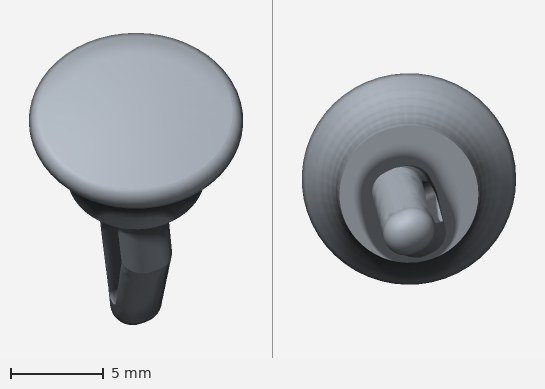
import cadquery as cq
import math


overall_height = 18.5

neck_radius = 3.75
flare_radius = 5.59
flare_top_z = 4.22
flare_mid = (4.22, 2.28)
rim_radius = 5.79
rim_widest_z = 4.83
crown_radius = 5.22
crown_edge_z = 5.48
head_height = 6.0

stem_half_depth = 1.42
corner_radius = 1.22
outer_flat_half = stem_half_depth - corner_radius
root_half_width = 1.55
knee_half_width = 2.53
knee_z = -5.53
stem_length = overall_height - head_height
tip_center_z = corner_radius - stem_length

slot_knee_half_width = 1.25
slot_end_radius = 0.48
slot_top_z = -1.52
slot_bottom_z = -10.53

arc_mid_offset = corner_radius * math.sqrt(0.5)


def make_head():
    """Turned knob with a hollow flare, a rounded rim and a shallow domed crown."""
    crown_sag = head_height - crown_edge_z
    dome_radius = (crown_radius**2 + crown_sag**2) / (2 * crown_sag)
    dome_mid_x = crown_radius / 2
    dome_mid_z = head_height - dome_radius + math.sqrt(dome_radius**2 - dome_mid_x**2)
    return (
        cq.Workplane("XZ")
        .lineTo(neck_radius, 0)
        .threePointArc(flare_mid, (flare_radius, flare_top_z))
        .threePointArc((rim_radius, rim_widest_z), (crown_radius, crown_edge_z))
        .threePointArc((dome_mid_x, dome_mid_z), (0, head_height))
        .close()
        .revolve(360, (0, 0), (0, 1))
    )


def rounded_section(workplane, inner_x):
    """Draw a leg section: flat outer edge, flat inner side, two quarter-round corners."""
    arc_mid_x = inner_x + arc_mid_offset
    arc_mid_y = outer_flat_half + arc_mid_offset
    outer_x = inner_x + corner_radius
    return (
        workplane.moveTo(inner_x, -stem_half_depth)
        .threePointArc((arc_mid_x, -arc_mid_y), (outer_x, -outer_flat_half))
        .lineTo(outer_x, outer_flat_half)
        .threePointArc((arc_mid_x, arc_mid_y), (inner_x, stem_half_depth))
        .close()
    )


def make_leg_span(top_z, top_half_width, bottom_z, bottom_half_width):
    """Straight sloping stretch of the rounded outside of the +X leg."""
    top = rounded_section(cq.Workplane("XY", origin=(0, 0, top_z)), top_half_width - corner_radius)
    bottom_plane = top.workplane(offset=bottom_z - top_z)
    return rounded_section(bottom_plane, bottom_half_width - corner_radius).loft(ruled=True)


def make_core():
    """Flat-sided diamond plate between the rounded outsides of the legs."""
    root_x = root_half_width - corner_radius
    knee_x = knee_half_width - corner_radius
    return (
        cq.Workplane("XZ")
        .polyline([(-root_x, 0), (root_x, 0), (knee_x, knee_z), (0, tip_center_z), (-knee_x, knee_z)])
        .close()
        .extrude(stem_half_depth, both=True)
    )


def make_tip():
    """Rounded stem end, turned about an axis along Y."""
    arc_mid_y = outer_flat_half + arc_mid_offset
    return (
        cq.Workplane("XY", origin=(0, 0, tip_center_z))
        .moveTo(0, -stem_half_depth)
        .threePointArc((arc_mid_offset, -arc_mid_y), (corner_radius, -outer_flat_half))
        .lineTo(corner_radius, outer_flat_half)
        .threePointArc((arc_mid_offset, arc_mid_y), (0, stem_half_depth))
        .close()
        .revolve(360, (0, 0), (0, 1))
    )


def make_slot():
    """Diamond opening with round ends, running right through the stem along Y."""
    upper_z = slot_top_z - slot_end_radius
    lower_z = slot_bottom_z + slot_end_radius
    return (
        cq.Workplane("XZ")
        .moveTo(-slot_end_radius, upper_z)
        .threePointArc((0, slot_top_z), (slot_end_radius, upper_z))
        .lineTo(slot_knee_half_width, knee_z)
        .lineTo(slot_end_radius, lower_z)
        .threePointArc((0, slot_bottom_z), (-slot_end_radius, lower_z))
        .lineTo(-slot_knee_half_width, knee_z)
        .close()
        .extrude(2 * stem_half_depth, both=True)
    )


upper_leg = make_leg_span(0, root_half_width, knee_z, knee_half_width)
lower_leg = make_leg_span(knee_z, knee_half_width, tip_center_z, corner_radius)
stem = make_core().union(make_tip())
for leg in (upper_leg, lower_leg):
    stem = stem.union(leg).union(leg.mirror("YZ"))

result = make_head().union(stem.cut(make_slot()))